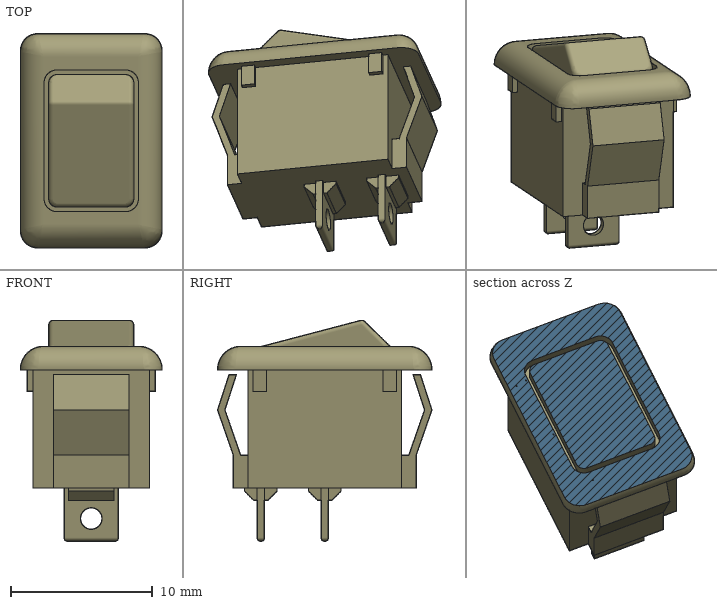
import cadquery as cq


bezel_width = 10.0
bezel_length = 15.11
bezel_height = 1.68
bezel_corner_radius = 1.25
bezel_rim_radius = 1.65

rocker_width = 6.0
rocker_length = 9.33
rocker_corner_radius = 0.59
rocker_edge_radius = 0.33
rocker_end_z = 1.62
rocker_peak_y = 2.7
rocker_peak_z = 3.55
rocker_gap = 0.33

body_width = 8.24
body_length = 10.85
body_height = 8.32
tab_reach = 0.39
tab_length = 0.93
tab_height = 1.5
tab_centre_y = 4.58

clip_width = 5.33
clip_base_y = 6.45
clip_base_z = -5.98
clip_apex_y = 7.55
clip_apex_z = -2.8
clip_tip_y = 6.75
clip_tip_z = -0.31
clip_thickness = 0.53

terminal_width = 3.83
terminal_thickness = 0.51
terminal_length = 3.74
terminal_end_radius = 0.25
terminal_hole_diameter = 1.5
terminal_hole_drop = 2.13
terminal_positions = (0.0, -4.5)
boss_width = 3.21
boss_length = 2.3
boss_height = 0.85
boss_chamfer = 0.65


def box_below(width, length, height, y=0.0):
    """Box hanging down from z = 0, centred on X and on the given y."""
    return cq.Workplane("XY").center(0, y).rect(width, length).extrude(-height)


def bezel():
    """Frame with a rounded rim and rounded corners, with a through opening for the rocker."""
    frame = cq.Workplane("XY").rect(bezel_width, bezel_length).extrude(bezel_height)
    frame = frame.faces(">Z").edges().fillet(bezel_rim_radius)
    frame = frame.edges("not(|X or |Y)").edges("not(#Z)").fillet(bezel_corner_radius)
    opening = (
        cq.Workplane("XY")
        .rect(rocker_width + 2 * rocker_gap, rocker_length + 2 * rocker_gap)
        .extrude(bezel_height)
        .edges("|Z")
        .fillet(rocker_corner_radius + rocker_gap)
    )
    return frame.cut(opening)


def rocker():
    """Tilted rocker on the body top: two sloping faces that meet in a ridge along X."""
    end_y = rocker_length / 2
    outline = [
        (-end_y, 0),
        (-end_y, rocker_end_z),
        (rocker_peak_y, rocker_peak_z),
        (end_y, rocker_end_z),
        (end_y, 0),
    ]
    solid = cq.Workplane("YZ").polyline(outline).close().extrude(rocker_width / 2, both=True)
    solid = solid.edges("|Z").fillet(rocker_corner_radius)
    sloping_faces = solid.faces("#X and (not |Y) and (not |Z)")
    return sloping_faces.edges().fillet(rocker_edge_radius)


def body():
    """Plain housing with four locating tabs just under the bezel."""
    housing = box_below(body_width, body_length, body_height)
    for side_y in (-tab_centre_y, tab_centre_y):
        housing = housing.union(box_below(body_width + 2 * tab_reach, tab_length, tab_height, side_y))
    return housing


def clip():
    """Bent spring clip on the +Y side, rising from a solid foot on the body."""
    outline = [
        (body_length / 2, -body_height),
        (clip_base_y, -body_height),
        (clip_base_y, clip_base_z),
        (clip_apex_y, clip_apex_z),
        (clip_tip_y, clip_tip_z),
        (clip_tip_y - clip_thickness, clip_tip_z),
        (clip_apex_y - clip_thickness, clip_apex_z),
        (clip_base_y - clip_thickness, clip_base_z),
        (body_length / 2, clip_base_z),
    ]
    return cq.Workplane("YZ").polyline(outline).close().extrude(clip_width / 2, both=True)


def terminal(y):
    """Blade terminal with a solder hole, and the chamfered boss around its root."""
    root = cq.Workplane("XY", origin=(0, y, -body_height))
    blade = root.rect(terminal_width, terminal_thickness).extrude(-terminal_length)
    blade = blade.faces("<Z").edges().fillet(terminal_end_radius)
    hole = (
        cq.Workplane("XZ", origin=(0, y + terminal_thickness, -body_height - terminal_hole_drop))
        .circle(terminal_hole_diameter / 2)
        .extrude(2 * terminal_thickness)
    )
    boss = root.rect(boss_width, boss_length).extrude(-boss_height)
    boss = boss.faces("<Z").edges("|X").chamfer(boss_chamfer)
    return blade.cut(hole).union(boss)


front_and_back_clips = clip().union(clip().mirror("XZ"))
result = bezel().union(rocker()).union(body()).union(front_and_back_clips)
for terminal_y in terminal_positions:
    result = result.union(terminal(terminal_y))